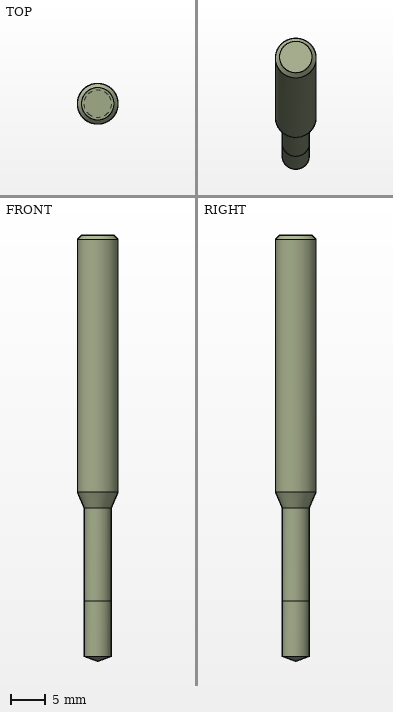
import cadquery as cq

total_length = 62.65
tip_z = -total_length / 2
top_z = total_length / 2

shank_diameter = 6.0
drill_diameter = 4.0
shank_radius = shank_diameter / 2
drill_radius = drill_diameter / 2

point_height = 0.75
cutting_length = 8.9
neck_end_height = 22.55
taper_end_height = 24.85
shank_chamfer = 0.6

point_top_z = tip_z + point_height
cutting_end_z = tip_z + cutting_length
neck_end_z = tip_z + neck_end_height
taper_end_z = tip_z + taper_end_height


def revolve_profile(points):
    """Revolve a closed outline of (radius, z) points about the Z axis."""
    return cq.Workplane("XZ").polyline(points).close().revolve(360, (0, 0, 0), (0, 1, 0))


def make_cutting_tip():
    """Cylindrical cutting section with a shallow conical point."""
    return revolve_profile([
        (0, tip_z),
        (drill_radius, point_top_z),
        (drill_radius, cutting_end_z),
        (0, cutting_end_z),
    ])


def make_shank():
    """Slim neck that flares through a cone into the chamfered shank."""
    return revolve_profile([
        (0, cutting_end_z),
        (drill_radius, cutting_end_z),
        (drill_radius, neck_end_z),
        (shank_radius, taper_end_z),
        (shank_radius, top_z - shank_chamfer),
        (shank_radius - shank_chamfer, top_z),
        (0, top_z),
    ])


cutting_tip = make_cutting_tip()
shank = make_shank()

result = cq.Compound.makeCompound([cutting_tip.val(), shank.val()])